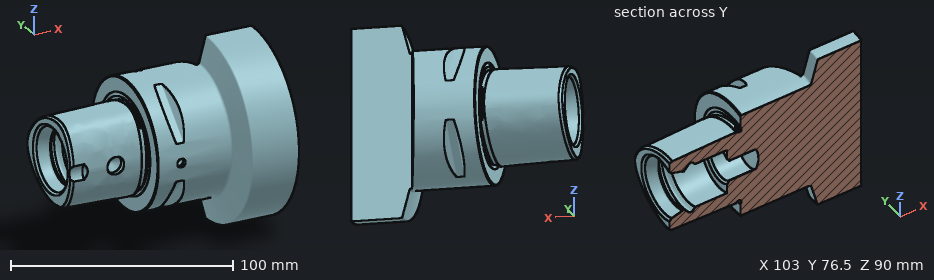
import cadquery as cq
import math

total_length = 103.0
shank_length = 38.0
shank_taper_end = 35.7
collar_length = 37.8
back_start = 74.8

collar_radius = 31.5
collar_chamfer = 0.4
plate_radius = 45.0
plate_edge_fillet = 0.9
back_slope = math.radians(15)
root_fillet = 1.1

lobe_height = 1.4
shank_mean_radius = 22.0
shank_taper = math.radians(1.4)
shank_chamfer_length = 1.4
shank_chamfer_depth = 0.8
lobe_points = 36

neck_radius = 22.1
neck_step = 0.2
relief_radius = 24.1
relief_depth = 0.6

bore_mouth_radius = 16.5
mouth_chamfer = 1.2
taper_bore_end = 6.2
taper_bore_radius = 13.9
lip_radius = 13.4
lip_start = 7.1
lip_end = 7.8
undercut_radius = 16.4
undercut_end = 11.5
undercut_corner_radius = 1.5
undercut_slope = math.radians(45)
bore_radius = 14.6
seat_depth = 30.9
screw_chamfer_radius = 10.2
screw_hole_radius = 9.0
screw_hole_depth = 46.4
drill_half_angle = math.radians(59)

side_hole_x = 22.6
side_hole_radius = 4.2
side_hole_depth = 3.1
mark_hole_x = 50.1
mark_hole_radius = 2.1
mark_hole_depth = 2.1

notch_radius = 5.5
notch_offset = 23.6
notch_length = 6.6

groove_x = 50.1
groove_floor_width = 3.7
groove_corner_fillet = 0.6
groove_floor_radius = 27.8
groove_flank = math.radians(30)


def revolved(points):
    """Solid turned about X from (x, radius) points."""
    return cq.Workplane("XY").polyline(points).close().revolve(360, (0, 0, 0), (1, 0, 0))


def rim_at(solid, x):
    """Circular edge of a turned solid in the plane at x."""
    tolerance = 0.01
    return solid.edges(cq.selectors.BoxSelector(
        (x - tolerance, -tolerance, -tolerance),
        (x + tolerance, tolerance, tolerance),
    ))


def lobed_section(x, mean_radius):
    """Closed three-lobed curve with one lobe towards +Y, in the plane at x."""

    def point(turn):
        angle = 2 * math.pi * turn
        reach = mean_radius + lobe_height * math.cos(3 * angle)
        swing = 3 * lobe_height * math.sin(3 * angle)
        y = reach * math.cos(angle) + swing * math.sin(angle)
        z = reach * math.sin(angle) - swing * math.cos(angle)
        return cq.Vector(x, y, z)

    curve = cq.Edge.makeSpline([point(i / lobe_points) for i in range(lobe_points)], periodic=True)
    return cq.Wire.assembleEdges([curve])


def lobed_solid(start, start_radius, end, end_radius):
    """Lobed body running straight between two sections."""
    sections = [lobed_section(start, start_radius), lobed_section(end, end_radius)]
    return cq.Workplane(cq.Solid.makeLoft(sections, True))


def radial_drill(x, surface_radius, radius, depth):
    """Drill with a conical tip entering from -Y; depth is that of its full-width part."""
    clearance = 5.2
    tip = radius / math.tan(drill_half_angle)
    floor = depth - surface_radius
    outline = [
        (x, -surface_radius - clearance),
        (x + radius, -surface_radius - clearance),
        (x + radius, floor),
        (x, floor + tip),
    ]
    return cq.Workplane("XY").polyline(outline).close().revolve(360, (x, 0, 0), (x, 1, 0))


plate_start = shank_length + collar_length + (plate_radius - collar_radius) * math.tan(back_slope)
turned = revolved([
    (shank_length, 0),
    (shank_length, collar_radius - collar_chamfer),
    (shank_length + collar_chamfer, collar_radius),
    (shank_length + collar_length, collar_radius),
    (plate_start, plate_radius),
    (total_length, plate_radius),
    (total_length, 0),
])
turned = rim_at(turned, plate_start).fillet(plate_edge_fillet)
turned = rim_at(turned, shank_length + collar_length).fillet(root_fillet)
back_cut = (
    cq.Workplane("XY")
    .polyline([
        (back_start, 0),
        (total_length, 0),
        (total_length, plate_radius),
        (back_start - plate_radius * math.tan(back_slope), plate_radius),
    ])
    .close()
    .extrude(plate_radius, both=True)
)
body = turned.cut(back_cut)

end_radius = shank_mean_radius - (shank_taper_end - shank_chamfer_length) * math.tan(shank_taper)
shank = lobed_solid(0, end_radius - shank_chamfer_depth, shank_chamfer_length, end_radius)
shank = shank.union(lobed_solid(shank_chamfer_length, end_radius, shank_taper_end, shank_mean_radius))
neck_mean_radius = shank_mean_radius - neck_step
neck = lobed_solid(shank_taper_end, neck_mean_radius, shank_length, neck_mean_radius)
body = body.union(shank).union(neck)

lobe_radius = shank_mean_radius + lobe_height
neck_slope_end = shank_taper_end + lobe_radius - neck_radius
neck_slope_start = neck_slope_end - (relief_radius - neck_radius)
relief_middle = (shank_length + relief_depth, (neck_radius + relief_radius) / 2)
neck_cut = (
    cq.Workplane("XY")
    .moveTo(neck_slope_start, relief_radius)
    .lineTo(neck_slope_end, neck_radius)
    .lineTo(shank_length, neck_radius)
    .threePointArc(relief_middle, (shank_length, relief_radius))
    .close()
    .revolve(360, (0, 0, 0), (1, 0, 0))
)
body = body.cut(neck_cut)

corner_end_x = undercut_end + undercut_corner_radius * math.sin(undercut_slope)
corner_end_radius = undercut_radius - undercut_corner_radius * (1 - math.cos(undercut_slope))
corner_middle = (
    undercut_end + undercut_corner_radius * math.sin(undercut_slope / 2),
    undercut_radius - undercut_corner_radius * (1 - math.cos(undercut_slope / 2)),
)
straight_bore_start = corner_end_x + (corner_end_radius - bore_radius) / math.tan(undercut_slope)
bore = (
    cq.Workplane("XY")
    .lineTo(0, bore_mouth_radius)
    .lineTo(mouth_chamfer, bore_mouth_radius - mouth_chamfer)
    .lineTo(taper_bore_end, taper_bore_radius)
    .lineTo(lip_start, lip_radius)
    .lineTo(lip_end, lip_radius)
    .lineTo(lip_end + undercut_radius - lip_radius, undercut_radius)
    .lineTo(undercut_end, undercut_radius)
    .threePointArc(corner_middle, (corner_end_x, corner_end_radius))
    .lineTo(straight_bore_start, bore_radius)
    .lineTo(seat_depth, bore_radius)
    .lineTo(seat_depth, screw_chamfer_radius)
    .lineTo(seat_depth + screw_chamfer_radius - screw_hole_radius, screw_hole_radius)
    .lineTo(screw_hole_depth, screw_hole_radius)
    .lineTo(screw_hole_depth + screw_hole_radius / math.tan(drill_half_angle), 0)
    .close()
    .revolve(360, (0, 0, 0), (1, 0, 0))
)
body = body.cut(bore)

flat_side_radius = shank_mean_radius - lobe_height
body = body.cut(radial_drill(side_hole_x, flat_side_radius, side_hole_radius, side_hole_depth))
body = body.cut(radial_drill(mark_hole_x, collar_radius, mark_hole_radius, mark_hole_depth))
notch = revolved([
    (0, 0),
    (0, notch_radius),
    (notch_length, notch_radius),
    (notch_length + notch_radius, 0),
])
body = body.cut(notch.translate((0, -notch_offset, 0)))

flank_run = (collar_radius - groove_floor_radius) * math.tan(groove_flank)
half_floor = groove_floor_width / 2
groove = (
    cq.Workplane("XY")
    .polyline([
        (groove_x - half_floor, groove_floor_radius),
        (groove_x + half_floor, groove_floor_radius),
        (groove_x + half_floor + flank_run, collar_radius),
        (groove_x - half_floor - flank_run, collar_radius),
    ])
    .close()
    .extrude(collar_radius, both=True)
    .edges("|Z and <Y")
    .fillet(groove_corner_fillet)
)
for angle in (45, 135, 225, 315):
    body = body.cut(groove.rotate((0, 0, 0), (1, 0, 0), angle))

result = body